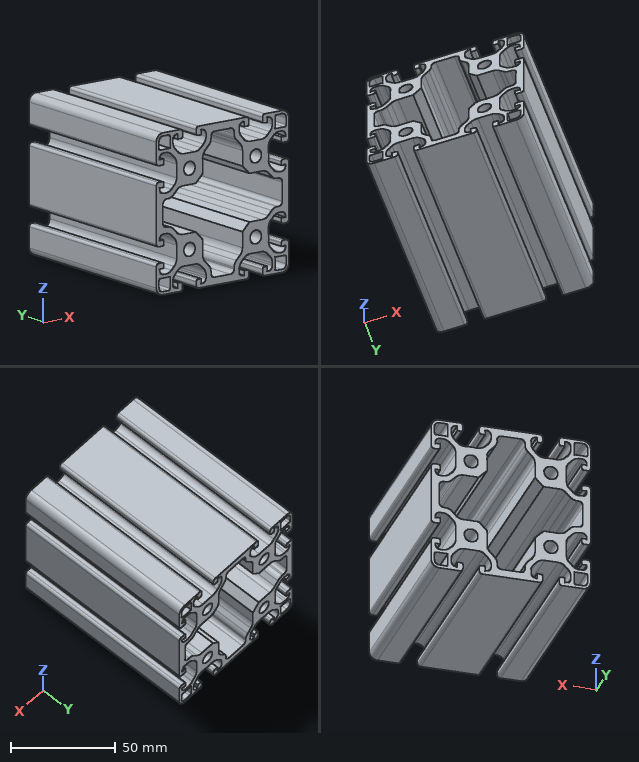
import math

import cadquery as cq

side = 80.0
length = 100.0
half = side / 2
outer_corner_radius = 4.0

slot_offset = side / 4
mouth_half_width = 4.1
lip_inner_half_width = 7.0
lip_depth = 4.5
lip_outer_radius = 1.5
lip_tip_radius = 1.0
recess_depth = 2.0
recess_radius = 2.5
slot_half_width = 10.0
slot_side_radius = 5.0
slot_depth = 12.25
slot_floor_radius = 5.0
slot_diagonal_sum = 17.7

wall = 4.0
web = 3.0
cavity_corner_radius = 2.3
core_half_width = 8.0
core_chamfer = 4.2
core_flank_radius = 5.0
web_side_radius = 4.5
core_hole_diameter = 6.8

hollow_wall = 1.6
hollow_size = 6.7
hollow_outer_radius = 2.4
hollow_end_radius = 1.0


def toward(start, end, distance):
    """Point at the given distance from start on the line to end."""
    share = distance / math.dist(start, end)
    return (start[0] + (end[0] - start[0]) * share, start[1] + (end[1] - start[1]) * share)


def rounded_outline(corners):
    """Solid with a closed outline of (x, z, radius) corners, running the full length along Y."""
    count = len(corners)
    path = None
    for i in range(count):
        before = corners[i - 1][:2]
        corner = corners[i][:2]
        after = corners[(i + 1) % count][:2]
        radius = corners[i][2]
        if radius == 0:
            path = path.lineTo(*corner) if path else cq.Workplane("XZ").moveTo(*corner)
            continue
        before_side = toward(corner, before, 1.0)
        after_side = toward(corner, after, 1.0)
        half_angle = math.asin(math.dist(before_side, after_side) / 2)
        tangent_length = radius / math.tan(half_angle)
        bisector_end = ((before_side[0] + after_side[0]) / 2, (before_side[1] + after_side[1]) / 2)
        arc_start = toward(corner, before, tangent_length)
        arc_middle = toward(corner, bisector_end, radius / math.sin(half_angle) - radius)
        arc_end = toward(corner, after, tangent_length)
        path = path.lineTo(*arc_start) if path else cq.Workplane("XZ").moveTo(*arc_start)
        path = path.threePointArc(arc_middle, arc_end)
    return path.close().extrude(length / 2, both=True)


def around_four_sides(corners):
    """Repeat the corners of the top side, in clockwise order, on all four sides."""
    ring = []
    for _ in range(4):
        ring += corners
        corners = [(z, -x, radius) for x, z, radius in corners]
    return ring


def slot_corners(center_x):
    """Corners of one top-side T-slot, from its left lip to its right lip."""
    right_half = [
        (slot_diagonal_sum - slot_depth, slot_depth, slot_floor_radius),
        (slot_half_width, slot_diagonal_sum - slot_half_width, slot_side_radius),
        (slot_half_width, recess_depth, recess_radius),
        (lip_inner_half_width, recess_depth, 0),
        (lip_inner_half_width, lip_depth, 0),
        (mouth_half_width, lip_depth, lip_tip_radius),
        (mouth_half_width, 0, lip_outer_radius),
    ]
    left = [(center_x - u, half - depth, radius) for u, depth, radius in reversed(right_half)]
    right = [(center_x + u, half - depth, radius) for u, depth, radius in right_half]
    return left + right


def outer_body():
    corners = [(-half, half, outer_corner_radius)]
    for center_x in (-slot_offset, slot_offset):
        corners += slot_corners(center_x)
    return rounded_outline(around_four_sides(corners))


def central_cavity():
    """Cross-shaped cavity that follows the slot flanks at web thickness."""
    arm_half_width = slot_offset - slot_half_width - web
    arm_end = half - wall
    core_face = slot_offset - core_half_width
    flank_sum = half + slot_offset - slot_diagonal_sum - web * math.sqrt(2)
    right_half = [
        (arm_half_width, arm_end, cavity_corner_radius),
        (arm_half_width, flank_sum - arm_half_width, web_side_radius),
        (core_face, flank_sum - core_face, core_flank_radius),
        (core_face, core_face + core_chamfer, 0),
    ]
    left_half = [(-x, z, radius) for x, z, radius in reversed(right_half)]
    return rounded_outline(around_four_sides(left_half + right_half))


def core_holes():
    return (
        cq.Workplane("XZ")
        .rect(2 * slot_offset, 2 * slot_offset, forConstruction=True)
        .vertices()
        .circle(core_hole_diameter / 2)
        .extrude(length / 2, both=True)
    )


def corner_hollow():
    """Hollow in the top-left corner of the section."""
    outer = half - hollow_wall
    inner = outer - hollow_size
    return rounded_outline([
        (-outer, outer, hollow_outer_radius),
        (-inner, outer, hollow_end_radius),
        (-inner, inner, 0),
        (-outer, inner, hollow_end_radius),
    ])


result = outer_body().cut(central_cavity()).cut(core_holes())
for quarter_turn in range(4):
    result = result.cut(corner_hollow().rotate((0, 0, 0), (0, 1, 0), 90 * quarter_turn))